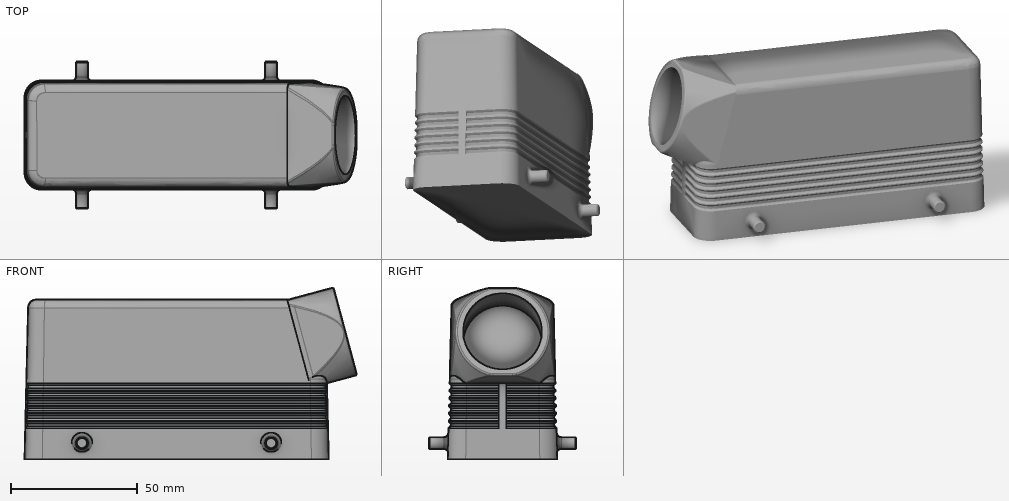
import math

import cadquery as cq

BASE_LENGTH = 120.0
BASE_WIDTH = 43.2
BASE_CORNER_RADIUS = 7.0
HOUSING_HEIGHT = 63.0
DRAFT_ANGLE = 1.35
CORNER_RADIUS_DRAFT = 0.010
TOP_EDGE_RADIUS = 3.4

GROOVE_COUNT = 6
GROOVE_START = 12.3
GROOVE_PITCH = 3.0
GROOVE_WIDTH = 2.6
GROOVE_FLOOR = 1.0
GROOVE_DEPTH = 0.8
END_STRIP_WIDTH = 3.0

OUTLET_ANGLE = 15.0
OUTLET_TIP_X = 130.92
OUTLET_TIP_Z = 67.56
OUTLET_HALF_HEIGHT = 17.9
OUTLET_LENGTH = 18.9
OUTLET_BEND_LENGTH = 16.9
OUTLET_BEND_HALF_WIDTH = 20.35
OUTLET_END_HALF_WIDTH = 18.6
OUTLET_EDGE_RADIUS = 1.0
OUTLET_RIM_RADIUS = 0.8
CONE_END_RADIUS = 18.4
CONE_HALF_ANGLE = 21.3
BORE_RADIUS = 15.5
SHOULDER_HEIGHT = 34.6
SHOULDER_EDGE_RADIUS = 3.0
SELECTION_MARGIN = 0.01

PIN_POSITIONS_X = (22.7, 97.2)
PIN_HEIGHT = 6.4
PIN_SPAN = 58.0
PIN_RADIUS = 2.4
PIN_END_CHAMFER = 0.4
PIN_COLLAR_RADIUS = 4.1
PIN_COLLAR_HEIGHT = 1.6

sin_outlet = math.sin(math.radians(OUTLET_ANGLE))
cos_outlet = math.cos(math.radians(OUTLET_ANGLE))
rim_rounding_loss = OUTLET_RIM_RADIUS * (sin_outlet + cos_outlet - 1)
outlet_center_x = OUTLET_TIP_X + rim_rounding_loss - OUTLET_HALF_HEIGHT * sin_outlet
outlet_center_z = OUTLET_TIP_Z + rim_rounding_loss - OUTLET_HALF_HEIGHT * cos_outlet
cone_root_radius = CONE_END_RADIUS + OUTLET_LENGTH * math.tan(math.radians(CONE_HALF_ANGLE))


def wall_inset(z):
    """Distance by which the drafted walls have moved inward at height z."""
    return z * math.tan(math.radians(DRAFT_ANGLE))


def housing_section(z, depth=0.0):
    """Rounded rectangle of the housing at height z, set back from the wall by depth."""
    inset = wall_inset(z) + depth
    return (
        cq.Sketch()
        .rect(BASE_LENGTH - 2 * inset, BASE_WIDTH - 2 * inset)
        .vertices()
        .fillet(BASE_CORNER_RADIUS - CORNER_RADIUS_DRAFT * z - depth)
        .moved(cq.Location(cq.Vector(BASE_LENGTH / 2, 0, z)))
    )


def loft_sections(sections):
    """Straight-sided solid through the given horizontal sections."""
    return cq.Workplane("XY").placeSketch(*sections).loft(ruled=True)


def grooved_sections():
    """Sections of the housing from the base to the top, following every groove, in order of height."""
    sections = [housing_section(0)]
    flank = (GROOVE_WIDTH - GROOVE_FLOOR) / 2
    for index in range(GROOVE_COUNT):
        bottom = GROOVE_START + index * GROOVE_PITCH
        sections.append(housing_section(bottom))
        sections.append(housing_section(bottom + flank, GROOVE_DEPTH))
        sections.append(housing_section(bottom + flank + GROOVE_FLOOR, GROOVE_DEPTH))
        sections.append(housing_section(bottom + GROOVE_WIDTH))
    sections.append(housing_section(HOUSING_HEIGHT))
    return sections


def make_housing():
    """Drafted housing with grooves, end strips and a rounded top edge."""
    housing = loft_sections(grooved_sections())
    housing = housing.faces(">Z").edges().fillet(TOP_EDGE_RADIUS)
    groove_top = GROOVE_START + GROOVE_COUNT * GROOVE_PITCH
    plain_band = loft_sections([housing_section(GROOVE_START), housing_section(groove_top)])
    strip = (
        cq.Workplane("XY", origin=(BASE_LENGTH / 2, 0, 0))
        .rect(BASE_LENGTH, END_STRIP_WIDTH)
        .extrude(HOUSING_HEIGHT)
    )
    return housing.union(plain_band.intersect(strip))


def outlet_plane(distance):
    """Plane square to the outlet axis, at a distance in front of the outlet end face."""
    return cq.Plane(
        origin=(
            outlet_center_x + distance * cos_outlet,
            0,
            outlet_center_z + distance * sin_outlet,
        ),
        xDir=(0, 1, 0),
        normal=(cos_outlet, 0, sin_outlet),
    )


def cut_for_outlet(housing):
    """Remove the housing in front of the outlet root, above the shoulder."""
    front = (
        cq.Workplane(outlet_plane(-OUTLET_LENGTH))
        .rect(2 * BASE_WIDTH, 2 * HOUSING_HEIGHT)
        .extrude(BASE_LENGTH)
    )
    above = (
        cq.Workplane("XY", origin=(BASE_LENGTH, 0, SHOULDER_HEIGHT))
        .rect(BASE_LENGTH, 2 * BASE_WIDTH)
        .extrude(HOUSING_HEIGHT)
    )
    housing = housing.cut(front.intersect(above))
    shoulder_edges = cq.selectors.BoxSelector(
        (BASE_LENGTH / 2, -BASE_WIDTH, SHOULDER_HEIGHT - SELECTION_MARGIN),
        (2 * BASE_LENGTH, BASE_WIDTH, SHOULDER_HEIGHT + SELECTION_MARGIN),
        boundingbox=True,
    )
    return housing.edges(shoulder_edges).edges("not(<X)").fillet(SHOULDER_EDGE_RADIUS)


def outlet_block_section(distance, half_width):
    """Cross-section of the outlet block with drafted sides; half_width applies at the axis."""
    lean = wall_inset(OUTLET_HALF_HEIGHT)
    return (
        cq.Sketch()
        .polygon(
            [
                (-half_width - lean, -OUTLET_HALF_HEIGHT),
                (half_width + lean, -OUTLET_HALF_HEIGHT),
                (half_width - lean, OUTLET_HALF_HEIGHT),
                (-half_width + lean, OUTLET_HALF_HEIGHT),
                (-half_width - lean, -OUTLET_HALF_HEIGHT),
            ]
        )
        .moved(cq.Location(cq.Vector(0, 0, distance)))
    )


def make_outlet():
    """Cone trimmed by the narrowing block, with its edges rounded."""
    root_half_width = BASE_WIDTH / 2 - wall_inset(outlet_center_z - OUTLET_LENGTH * sin_outlet)
    sections = [
        outlet_block_section(-OUTLET_LENGTH, root_half_width),
        outlet_block_section(-OUTLET_BEND_LENGTH, OUTLET_BEND_HALF_WIDTH),
        outlet_block_section(0, OUTLET_END_HALF_WIDTH),
    ]
    block = cq.Workplane(outlet_plane(0)).placeSketch(*sections).loft(ruled=True)
    cone = (
        cq.Workplane(outlet_plane(-OUTLET_LENGTH))
        .circle(cone_root_radius)
        .workplane(offset=OUTLET_LENGTH)
        .circle(CONE_END_RADIUS)
        .loft(ruled=True)
    )
    outlet = block.intersect(cone)
    outlet = outlet.edges("not (%LINE or %CIRCLE)").fillet(OUTLET_EDGE_RADIUS)
    rim = outlet.faces(cq.selectors.DirectionMinMaxSelector(outlet_plane(0).zDir)).edges()
    return rim.fillet(OUTLET_RIM_RADIUS)


def make_bore():
    """Round cable opening, as deep as the outlet is long."""
    return cq.Workplane(outlet_plane(0)).circle(BORE_RADIUS).extrude(-OUTLET_LENGTH)


def make_pin(x, side):
    """Locking pin with a concave flared collar; side is +1 or -1 along Y."""
    tip = PIN_SPAN / 2
    wall = BASE_WIDTH / 2 - wall_inset(PIN_HEIGHT)
    collar_top = wall + PIN_COLLAR_HEIGHT
    half_profile = (
        cq.Workplane("XY")
        .lineTo(PIN_COLLAR_RADIUS, 0)
        .lineTo(PIN_COLLAR_RADIUS, wall)
        .radiusArc((PIN_RADIUS, collar_top), PIN_COLLAR_HEIGHT)
        .lineTo(PIN_RADIUS, tip - PIN_END_CHAMFER)
        .lineTo(PIN_RADIUS - PIN_END_CHAMFER, tip)
        .lineTo(0, tip)
        .close()
    )
    pin = half_profile.revolve(360, (0, 0, 0), (0, 1, 0))
    if side < 0:
        pin = pin.mirror("XZ")
    return pin.translate((x, 0, PIN_HEIGHT))


result = cut_for_outlet(make_housing()).union(make_outlet()).cut(make_bore())
for pin_x in PIN_POSITIONS_X:
    for pin_side in (1, -1):
        result = result.union(make_pin(pin_x, pin_side))